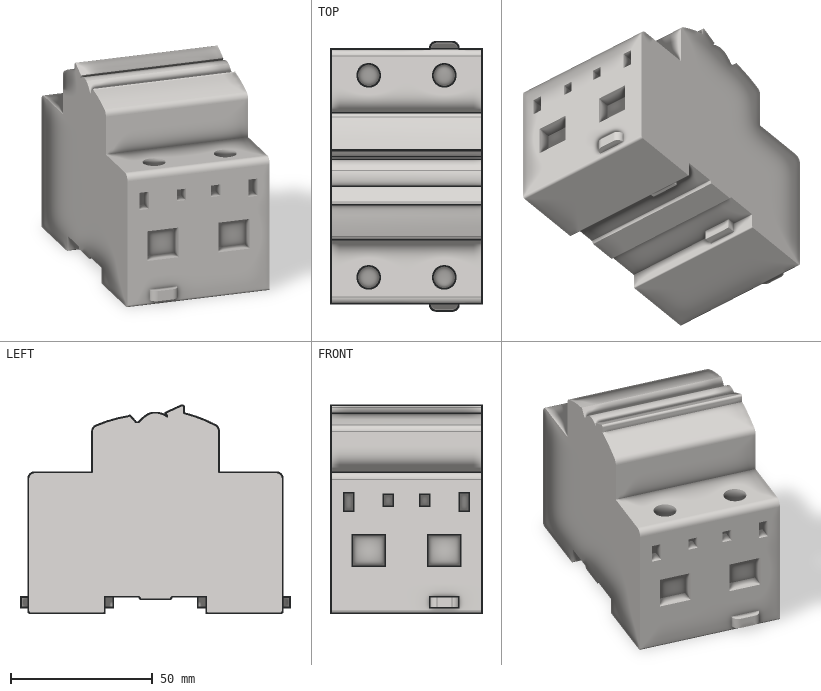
import cadquery as cq

width = 53.4
overall_length = 95.2
overall_height = 73.6
base_length = 90.1
base_height = 50.0
shoulder_radius = 2.5
foot_radius = 0.95
tower_half = 22.5
tower_corner_radius = 2.5

rear_corner_z = 65.8
front_corner_z = 65.9
crown_radius = 47.6
rear_crown_end = (9.4, 69.8)
groove_lip = (9.0, 70.1)
groove_floor_z = 67.6
groove_floor_y = (6.9, 6.0)
hub_flank_middle = (3.9, 69.6)
hub_start = (2.1, 70.7)
hub_top = (0.2, 71.0)
hub_end = (-4.2, 69.6)
lever_heel = (-3.4, 70.9)
lever_crest = (-9.0, 73.5)
lever_tip_top = (-9.4, overall_height)
lever_tip = (-10.1, 72.9)
front_crown_start_z = 70.8

rail_half = 17.9
rail_depth = 5.9
pad_root_half = 5.9
pad_face_half = 5.2
pad_height = 0.95
rail_mouth_radius = 0.5

terminal_x = width / 4
clip_width = 10.4
clip_height = 3.8
clip_inner_y = 14.85
clip_corner_radius = 2.5

opening_depth = 4.95
screw_hole_diameter = 8.1
screw_hole_y = 35.7
window_size = (11.7, 11.1)
window_z = 22.3
outer_slot_size = (3.4, 6.5)
outer_slot_x = 20.4
inner_slot_size = (3.4, 4.3)
inner_slot_x = 6.5
outer_slot_z = 39.4
inner_slot_z = 40.0


def box_between(x_size, y_range, z_range, x_center=0.0):
    """Box centred on x_center in X, spanning the given Y and Z ranges."""
    y_size = y_range[1] - y_range[0]
    z_size = z_range[1] - z_range[0]
    corner = (x_center - x_size / 2, y_range[0], z_range[0])
    return cq.Workplane("XY").box(x_size, y_size, z_size, centered=False).translate(corner)


def edge_along_x(solid, point):
    """The edge parallel to X that passes nearest to the (Y, Z) point."""
    return solid.edges("|X").edges(cq.selectors.NearestToPointSelector((0, *point)))


def make_base():
    half = base_length / 2
    base = box_between(width, (-half, half), (0, base_height))
    base = base.edges("|X and >Z").fillet(shoulder_radius)
    return base.edges("|X and <Z").fillet(foot_radius)


def make_tower():
    outline = (
        cq.Workplane("YZ", origin=(-width / 2, 0, 0))
        .moveTo(-tower_half, rail_depth)
        .lineTo(tower_half, rail_depth)
        .lineTo(tower_half, rear_corner_z)
        .radiusArc(rear_crown_end, -crown_radius)
        .lineTo(*groove_lip)
        .lineTo(groove_floor_y[0], groove_floor_z)
        .lineTo(groove_floor_y[1], groove_floor_z)
        .threePointArc(hub_flank_middle, hub_start)
        .threePointArc(hub_top, hub_end)
        .lineTo(*lever_heel)
        .lineTo(*lever_crest)
        .threePointArc(lever_tip_top, lever_tip)
        .lineTo(lever_tip[0], front_crown_start_z)
        .radiusArc((-tower_half, front_corner_z), -crown_radius)
        .close()
    )
    tower = outline.extrude(width)
    for corner in ((tower_half, rear_corner_z), (-tower_half, front_corner_z)):
        tower = edge_along_x(tower, corner).fillet(tower_corner_radius)
    return tower


def make_rail_channel():
    pad_z = rail_depth - pad_height
    return (
        cq.Workplane("YZ", origin=(-width / 2, 0, 0))
        .moveTo(-rail_half, 0)
        .lineTo(-rail_half, rail_depth)
        .lineTo(-pad_root_half, rail_depth)
        .lineTo(-pad_face_half, pad_z)
        .lineTo(pad_face_half, pad_z)
        .lineTo(pad_root_half, rail_depth)
        .lineTo(rail_half, rail_depth)
        .lineTo(rail_half, 0)
        .close()
        .extrude(width)
    )


def make_front_clip():
    y_range = (-overall_length / 2, -clip_inner_y)
    clip = box_between(clip_width, y_range, (rail_depth - clip_height, rail_depth), terminal_x)
    return clip.edges("|Z and <Y").fillet(clip_corner_radius)


def make_front_pocket(size, x, z):
    front = -base_length / 2
    z_range = (z - size[1] / 2, z + size[1] / 2)
    return box_between(size[0], (front, front + opening_depth), z_range, x)


def make_screw_hole(x):
    return (
        cq.Workplane("XY", origin=(x, -screw_hole_y, base_height - opening_depth))
        .circle(screw_hole_diameter / 2)
        .extrude(opening_depth)
    )


body = make_base().union(make_tower()).cut(make_rail_channel())
for mouth_y in (-rail_half, rail_half):
    body = edge_along_x(body, (mouth_y, 0)).fillet(rail_mouth_radius)

for side in (-1, 1):
    openings = (
        make_screw_hole(side * terminal_x),
        make_front_pocket(window_size, side * terminal_x, window_z),
        make_front_pocket(outer_slot_size, side * outer_slot_x, outer_slot_z),
        make_front_pocket(inner_slot_size, side * inner_slot_x, inner_slot_z),
    )
    for opening in openings:
        body = body.cut(opening).cut(opening.mirror("XZ"))

clip = make_front_clip()
result = body.union(clip).union(clip.mirror("XZ"))